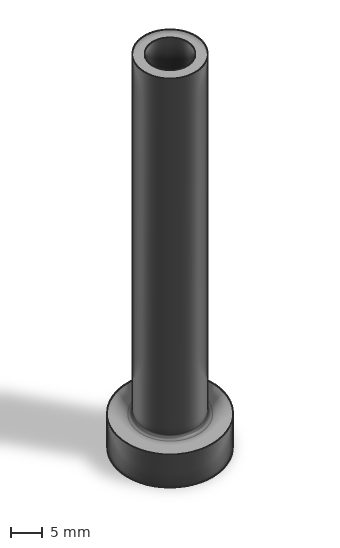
import cadquery as cq

total_height = 82.0
head_diameter = 20.0
head_height = 7.0
shaft_diameter = 12.0
bore_diameter = 8.0
root_fillet = 0.7

head = cq.Workplane("XY").circle(head_diameter / 2).extrude(head_height)
shaft = cq.Workplane("XY").circle(shaft_diameter / 2).extrude(total_height)
body = head.union(shaft)

shaft_root = cq.selectors.RadiusNthSelector(0)
body = body.faces("<Z[1]").edges(shaft_root).fillet(root_fillet)

bore = cq.Workplane("XY").circle(bore_diameter / 2).extrude(total_height)
result = body.cut(bore)